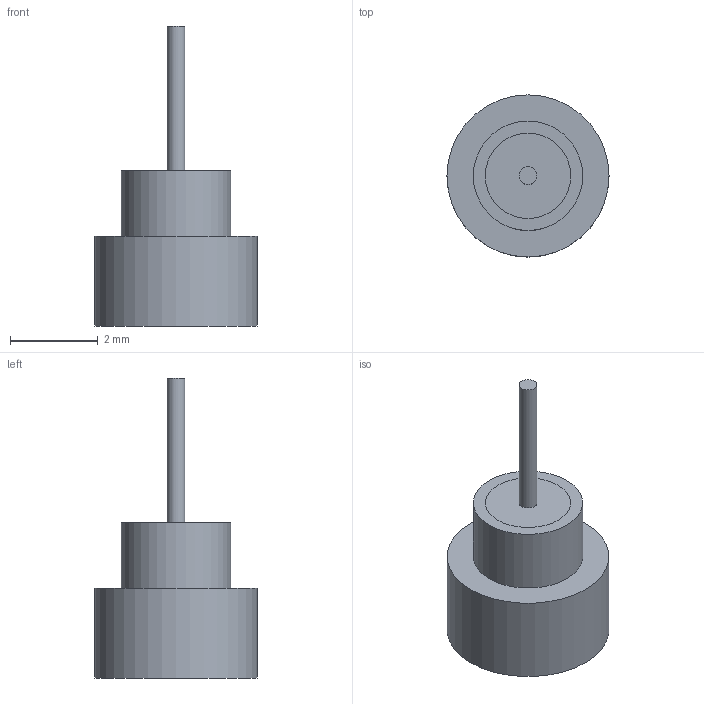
import cadquery as cq

base_diameter = 3.7
base_height = 2.05
collar_diameter = 2.5
collar_height = 1.5
bead_diameter = 1.95
pin_diameter = 0.41
total_height = 6.85

collar_top = base_height + collar_height


def cylinder(diameter, bottom, top):
    """Upright cylinder on the Z axis between two heights."""
    return cq.Workplane("XY").workplane(offset=bottom).circle(diameter / 2).extrude(top - bottom)


base = cylinder(base_diameter, 0, base_height)
collar = cylinder(collar_diameter, base_height, collar_top)
bead = cylinder(bead_diameter, base_height, collar_top)
shell = base.union(collar).cut(bead)

pin = cylinder(pin_diameter, base_height, total_height)

result = shell.union(bead.cut(pin), clean=False).union(pin, clean=False)